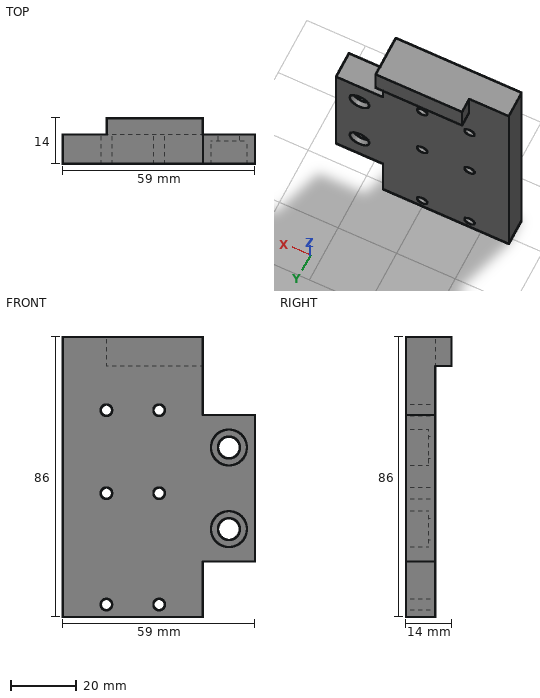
import cadquery as cq

height = 86.0
total_width = 59.0
body_width = 43.0
plate_thickness = 9.0
total_depth = 14.0

tab_bottom = 17.0
tab_height = 45.0
tab_width = total_width - body_width

block_left = 13.5
block_height = 9.0

small_hole_diameter = 3.4
small_hole_columns = (13.4, 29.6)
small_hole_rows = (3.9, 38.0, 63.5)

bolt_hole_diameter = 6.6
counterbore_diameter = 11.0
counterbore_depth = 7.0
bolt_spacing = 25.0
bolt_x = body_width + tab_width / 2
bolt_mid_z = tab_bottom + tab_height / 2


def box(x, y, z, width, depth, tall):
    """Box with its minimum corner at (x, y, z)."""
    return cq.Workplane("XY").box(width, depth, tall, centered=False).translate((x, y, z))


def bore(x, z, diameter, depth):
    """Cylinder running in +Y from the front face at y = 0."""
    axis_start = cq.Vector(x, 0, z)
    return cq.Workplane(cq.Solid.makeCylinder(diameter / 2, depth, axis_start, cq.Vector(0, 1, 0)))


result = box(0, 0, 0, body_width, plate_thickness, height)
result = result.union(box(body_width, 0, tab_bottom, tab_width, plate_thickness, tab_height))
result = result.union(
    box(block_left, 0, height - block_height, body_width - block_left, total_depth, block_height)
)

for hole_x in small_hole_columns:
    for hole_z in small_hole_rows:
        result = result.cut(bore(hole_x, hole_z, small_hole_diameter, plate_thickness))

for side in (-1, 1):
    bolt_z = bolt_mid_z + side * bolt_spacing / 2
    result = result.cut(bore(bolt_x, bolt_z, bolt_hole_diameter, plate_thickness))
    result = result.cut(bore(bolt_x, bolt_z, counterbore_diameter, counterbore_depth))